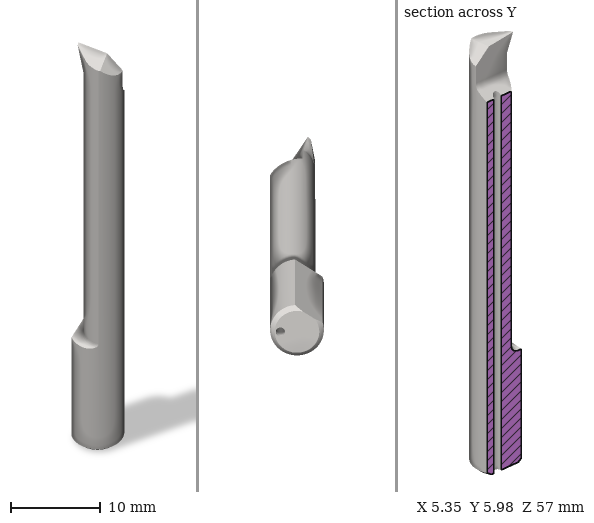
import cadquery as cq
import math

length = 57.0
shank_radius = 2.99
width = 5.35
flat_x = shank_radius - width
base_chamfer = 0.5

neck_radius = 2.71
neck_offset = 1.225
shank_top = 15.1
neck_fillet = 0.85

rake_y = 0.1
relief_end_z = 49.25
relief_fillet = 1.15

coolant_diameter = 1.0
coolant_x = 1.0
coolant_y = 1.55

head_bottom = 54.3
flank_drop = 0.36
flank_clearance = 0.2
top_slope_x = 0.13
top_slope_y = 0.1
back_chamfer_z = 54.65

margin = 5.7


def full_rod():
    rod = cq.Workplane("XY").circle(shank_radius).extrude(length)
    return rod.faces("<Z").chamfer(base_chamfer)


def shank_and_neck():
    """Shank with its step, concave fillet and neck, turned about the neck axis."""
    outer_radius = shank_radius + neck_offset + margin
    fillet_mid = neck_fillet * (1 - math.sqrt(0.5))
    profile = (
        cq.Workplane("XZ")
        .lineTo(outer_radius, 0)
        .lineTo(outer_radius, shank_top)
        .lineTo(neck_radius + neck_fillet, shank_top)
        .threePointArc(
            (neck_radius + fillet_mid, shank_top + fillet_mid),
            (neck_radius, shank_top + neck_fillet),
        )
        .lineTo(neck_radius, length)
        .lineTo(0, length)
        .close()
    )
    turned = profile.revolve(360, (0, 0, 0), (0, 1, 0)).translate((neck_offset, 0, 0))
    flat_cut = cq.Workplane("XY").box(
        margin, 2 * margin, length, centered=(False, True, False)
    ).translate((flat_x - margin, 0, 0))
    return turned.intersect(full_rod()).cut(flat_cut)


def flank_x(y, z):
    """Position of the side flank, leaning inwards from the cutting point."""
    return flat_x + flank_drop * (length - z) + flank_clearance * (rake_y - y)


def cutting_head():
    """Wedge between the side flank and a 45 degree flank tangent to the neck."""
    tangent_reach = neck_radius * math.sqrt(0.5)
    tangent_point = (neck_offset - tangent_reach, -tangent_reach)
    tangent_sum = sum(tangent_point)

    def section(z):
        corner_y = (tangent_sum - flank_x(0, z)) / (1 - flank_clearance)
        return cq.Wire.makePolygon(
            [
                cq.Vector(flank_x(rake_y, z), rake_y, z),
                cq.Vector(flank_x(corner_y, z), corner_y, z),
                cq.Vector(*tangent_point, z),
                cq.Vector(neck_offset, 0, z),
                cq.Vector(neck_offset, rake_y, z),
            ],
            close=True,
        )

    return cq.Workplane(cq.Solid.makeLoft([section(head_bottom), section(length)], True))


def chip_relief():
    ramp_start_z = relief_end_z + neck_radius - rake_y
    far_y = rake_y + margin
    return (
        cq.Workplane("YZ")
        .moveTo(rake_y, ramp_start_z)
        .lineTo(far_y, ramp_start_z - margin)
        .lineTo(far_y, length + margin)
        .lineTo(rake_y, length + margin)
        .close()
        .extrude(margin, both=True)
        .edges(cq.selectors.NearestToPointSelector((0, rake_y, ramp_start_z)))
        .fillet(relief_fillet)
    )


def top_relief():
    """Everything above the end face, which falls away from the cutting point."""
    end_plane = cq.Plane(
        origin=(flat_x, rake_y, length),
        xDir=(1, 0, -top_slope_x),
        normal=(top_slope_x, -top_slope_y, 1),
    )
    return cq.Workplane(end_plane).rect(4 * margin, 4 * margin).extrude(margin)


def back_chamfer():
    return (
        cq.Workplane("XZ")
        .moveTo(shank_radius, back_chamfer_z)
        .lineTo(shank_radius - margin, back_chamfer_z + margin)
        .lineTo(shank_radius + margin, back_chamfer_z + margin)
        .lineTo(shank_radius + margin, back_chamfer_z - margin)
        .close()
        .extrude(margin, both=True)
    )


def coolant_hole():
    return (
        cq.Workplane("XY")
        .center(coolant_x, coolant_y)
        .circle(coolant_diameter / 2)
        .extrude(length)
    )


result = shank_and_neck().cut(chip_relief()).union(cutting_head())
for cutter in (top_relief(), back_chamfer(), coolant_hole()):
    result = result.cut(cutter)